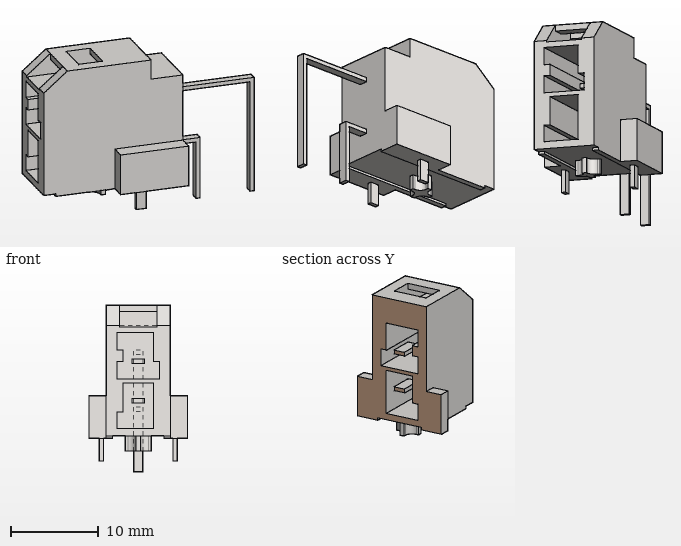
import cadquery as cq


WIDTH = 7.3
LENGTH = 16.85
HEIGHT = 15.2
SHOULDER_Z = 12.86
REAR_STEP_LENGTH = 3.85
SLOPE_LENGTH = 2.85
FRONT_Y = -LENGTH

RAIL_HEIGHT = 0.3
RAIL_WIDTH = 0.73
RAIL_FRONT_GAP = 1.45

OVERALL_WIDTH = 11.27
WING_WIDTH = (OVERALL_WIDTH - WIDTH) / 2
WING_LENGTH = 8.25
WING_HEIGHT = 4.87
PEG_X = 4.2
PEG_Y = -5.33
PEG_THICKNESS = 0.5
PEG_LENGTH = 1.2
PEG_DROP = 2.58

CHANNEL_WIDTH = 4.25
CHANNEL_FLOOR_Z = 12.7
CHANNEL_REAR_Y = -7.0
WINDOW_REAR_Y = -9.18
BRIDGE_REAR_Y = -12.08
BRIDGE_FRONT_Y = FRONT_Y + SLOPE_LENGTH
ROOF_THICKNESS = 0.7

CAVITY_DEPTH = LENGTH - REAR_STEP_LENGTH
CAVITY_HALF_WIDTH = 2.45
CAVITY_INNER_X = 1.73
UPPER_FLOOR_Z = 6.8
UPPER_CEILING_Z = 12.08
UPPER_LOWER_KEY_Z = 8.8
UPPER_UPPER_KEY_Z = 10.08
LOWER_FLOOR_Z = 1.12
LOWER_CEILING_Z = 6.32
LOWER_KEY_Z = 3.04

BLADE_WIDTH = 1.4
BLADE_THICKNESS = 0.5
BLADE_LENGTH = 6.0
BLADE_CENTERS_Z = (4.32, 8.8)

TAIL_WIDTH = 1.07
TAIL_THICKNESS = 0.5
TAIL_BOTTOM_Z = -3.81
TAILS = ((3.2, 3.6), (9.75, 10.1))

BOSS_Y = -8.88
BOSS_RADIUS = 1.5
BOSS_DROP = 1.45
LOBE_HALF_WIDTH = 0.28
FLUTE_RADIUS = 0.9


def box(x_range, y_range, z_range):
    """Axis-aligned block between the given limits."""
    sizes = [high - low for low, high in (x_range, y_range, z_range)]
    corner = (x_range[0], y_range[0], z_range[0])
    return cq.Workplane("XY").box(*sizes, centered=False).translate(corner)


def centered_box(width, y_range, z_range, x_center=0):
    """Block of the given width, centred on x_center."""
    return box((x_center - width / 2, x_center + width / 2), y_range, z_range)


def housing_body():
    profile = [
        (0, 0),
        (0, SHOULDER_Z),
        (-REAR_STEP_LENGTH, SHOULDER_Z),
        (-REAR_STEP_LENGTH, HEIGHT),
        (BRIDGE_FRONT_Y, HEIGHT),
        (FRONT_Y, SHOULDER_Z),
        (FRONT_Y, RAIL_HEIGHT),
        (FRONT_Y + RAIL_FRONT_GAP, RAIL_HEIGHT),
        (FRONT_Y + RAIL_FRONT_GAP, 0),
    ]
    body = cq.Workplane("YZ").polyline(profile).close().extrude(WIDTH / 2, both=True)
    rail_gap = centered_box(WIDTH - 2 * RAIL_WIDTH, (FRONT_Y, 0), (0, RAIL_HEIGHT))
    return body.cut(rail_gap)


def latch_channel():
    """Channel under the roof, open at the front slope and through a window behind the bridge."""
    ceiling_z = HEIGHT - ROOF_THICKNESS
    channel = centered_box(CHANNEL_WIDTH, (FRONT_Y, CHANNEL_REAR_Y), (CHANNEL_FLOOR_Z, ceiling_z))
    front_opening = centered_box(CHANNEL_WIDTH, (FRONT_Y, BRIDGE_FRONT_Y), (CHANNEL_FLOOR_Z, HEIGHT))
    window = centered_box(CHANNEL_WIDTH, (BRIDGE_REAR_Y, WINDOW_REAR_Y), (CHANNEL_FLOOR_Z, HEIGHT))
    return channel.union(front_opening).union(window)


def cavity(outline):
    """Plug cavity with the given X-Z outline, running back from the front face."""
    front_plane = cq.Workplane("XZ", origin=(0, FRONT_Y, 0))
    return front_plane.polyline(outline).close().extrude(-CAVITY_DEPTH)


def upper_cavity():
    return cavity([
        (-CAVITY_HALF_WIDTH, UPPER_FLOOR_Z),
        (CAVITY_HALF_WIDTH, UPPER_FLOOR_Z),
        (CAVITY_HALF_WIDTH, UPPER_LOWER_KEY_Z),
        (CAVITY_INNER_X, UPPER_LOWER_KEY_Z),
        (CAVITY_INNER_X, UPPER_CEILING_Z),
        (-CAVITY_HALF_WIDTH, UPPER_CEILING_Z),
        (-CAVITY_HALF_WIDTH, UPPER_UPPER_KEY_Z),
        (-CAVITY_INNER_X, UPPER_UPPER_KEY_Z),
        (-CAVITY_INNER_X, UPPER_LOWER_KEY_Z),
        (-CAVITY_HALF_WIDTH, UPPER_LOWER_KEY_Z),
    ])


def lower_cavity():
    return cavity([
        (-CAVITY_HALF_WIDTH, LOWER_FLOOR_Z),
        (CAVITY_INNER_X, LOWER_FLOOR_Z),
        (CAVITY_INNER_X, LOWER_CEILING_Z),
        (-CAVITY_INNER_X, LOWER_CEILING_Z),
        (-CAVITY_INNER_X, LOWER_KEY_Z),
        (-CAVITY_HALF_WIDTH, LOWER_KEY_Z),
    ])


def wing_with_peg(side):
    """Side wing and its board peg; side is -1 for the -X wing and +1 for the +X wing."""
    wing_x = side * (WIDTH + WING_WIDTH) / 2
    wing = centered_box(WING_WIDTH, (-WING_LENGTH, 0), (0, WING_HEIGHT), wing_x)
    peg_y = (PEG_Y - PEG_LENGTH / 2, PEG_Y + PEG_LENGTH / 2)
    peg = centered_box(PEG_THICKNESS, peg_y, (-PEG_DROP, 0), side * PEG_X)
    return wing.union(peg)


def contact_blade(center_z):
    cavity_rear_y = FRONT_Y + CAVITY_DEPTH
    z_range = (center_z - BLADE_THICKNESS / 2, center_z + BLADE_THICKNESS / 2)
    return centered_box(BLADE_WIDTH, (cavity_rear_y - BLADE_LENGTH, cavity_rear_y), z_range)


def solder_tail(reach, top_z):
    """L-shaped tail: straight back from the housing, then down through the board."""
    arm = centered_box(TAIL_WIDTH, (0, reach), (top_z - TAIL_THICKNESS, top_z))
    leg = centered_box(TAIL_WIDTH, (reach - TAIL_THICKNESS, reach), (TAIL_BOTTOM_Z, top_z))
    return arm.union(leg)


def locating_boss():
    """Round boss cut by four corner flutes, leaving a cross of four straight-sided lobes."""
    boss_z = (-BOSS_DROP, RAIL_HEIGHT)
    flute_span = (LOBE_HALF_WIDTH, BOSS_RADIUS)
    flute = box(flute_span, flute_span, boss_z).edges("|Z and <X and <Y").fillet(FLUTE_RADIUS)
    boss = cq.Workplane("XY", origin=(0, 0, -BOSS_DROP))
    boss = boss.circle(BOSS_RADIUS).extrude(BOSS_DROP + RAIL_HEIGHT)
    for quarter_turn in (0, 90, 180, 270):
        boss = boss.cut(flute.rotate((0, 0, 0), (0, 0, 1), quarter_turn))
    return boss.translate((0, BOSS_Y, 0))


result = housing_body().cut(latch_channel()).cut(upper_cavity()).cut(lower_cavity())
for wing_side in (-1, 1):
    result = result.union(wing_with_peg(wing_side))
for blade_z in BLADE_CENTERS_Z:
    result = result.union(contact_blade(blade_z))
for tail_reach, tail_top_z in TAILS:
    result = result.union(solder_tail(tail_reach, tail_top_z))
result = result.union(locating_boss())